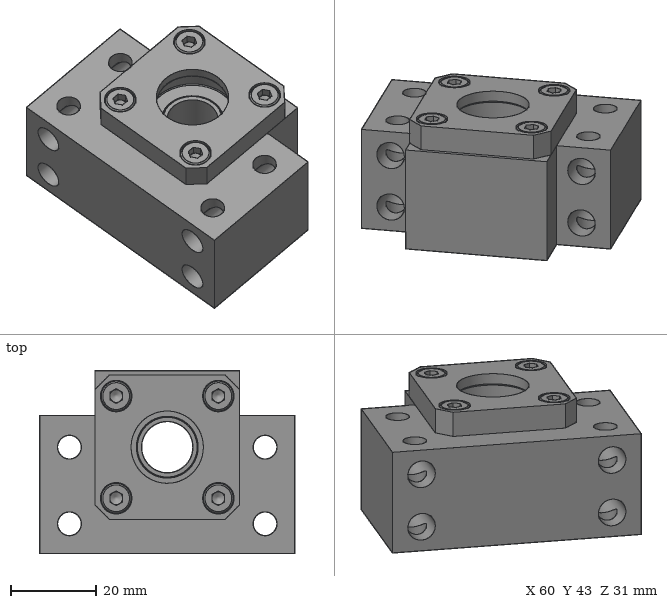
import cadquery as cq
import math


WIDTH = 60.0
HOUSING_HEIGHT = 25.0
AXIS_TO_FRONT = 25.0
AXIS_TO_BACK = 18.0
AXIS_TO_WING = 7.5
CENTRE_WIDTH = 34.0

MOUNT_X = 23.0
VERTICAL_HOLE_D = 5.5
VERTICAL_HOLE_Y = (0.0, -18.0)
CROSS_HOLE_D = 6.6
CROSS_HOLE_Z = (6.0, 19.0)

CAP_THICKNESS = 6.0
CAP_CORNER = 3.5
CAP_BORE_D = 17.0
CAP_LIP = 3.0
CAP_LIP_CHAMFER = 0.5
SPIGOT_LENGTH = 2.0
SPIGOT_D = 28.0
SPIGOT_BORE_D = 21.35

BORE_D = 12.0
RECESS_DEPTH = 0.25
COLLAR_D = 14.05
COLLAR_GAP = 0.25
COLLAR_GAP_DEPTH = 0.6

SCREW_PITCH = 24.0
COUNTERBORE_D = 7.4
HEAD_D = 7.0
HEAD_HEIGHT = 4.0
HEAD_CHAMFER = 0.35
SHANK_D = 4.0
SHANK_LENGTH = 12.0
SOCKET_FLATS = 3.0
SOCKET_DEPTH = 2.0
SOCKET_CONE_DEPTH = 0.85

cap_top = HOUSING_HEIGHT + CAP_THICKNESS
spigot_floor = HOUSING_HEIGHT - SPIGOT_LENGTH
recess_floor = spigot_floor - RECESS_DEPTH
lip_bottom = cap_top - CAP_LIP
head_seat = cap_top - HEAD_HEIGHT
half_pitch = SCREW_PITCH / 2
screw_points = [(x, y) for x in (-half_pitch, half_pitch) for y in (-half_pitch, half_pitch)]


def cylinder(diameter, bottom, top, points=((0, 0),)):
    """Vertical cylinders between two heights, one at each point."""
    plane = cq.Workplane("XY").workplane(offset=bottom)
    return plane.pushPoints(points).circle(diameter / 2).extrude(top - bottom)


def cone(bottom_diameter, top_diameter, bottom, height):
    """Cone or cone frustum on the Z axis."""
    solid = cq.Solid.makeCone(bottom_diameter / 2, top_diameter / 2, height)
    return cq.Workplane(solid).translate((0, 0, bottom))


def block(width, front, back, bottom, top):
    """Box centred on X between the given Y and Z limits."""
    box = cq.Workplane("XY").box(width, back - front, top - bottom, centered=(True, False, False))
    return box.translate((0, front, bottom))


def make_housing():
    wings = block(WIDTH, -AXIS_TO_FRONT, AXIS_TO_WING, 0, HOUSING_HEIGHT)
    centre = block(CENTRE_WIDTH, -AXIS_TO_FRONT, AXIS_TO_BACK, 0, HOUSING_HEIGHT)
    body = wings.union(centre)

    vertical_points = [(x, y) for x in (-MOUNT_X, MOUNT_X) for y in VERTICAL_HOLE_Y]
    body = body.cut(cylinder(VERTICAL_HOLE_D, 0, HOUSING_HEIGHT, vertical_points))

    cross_points = [(x, z) for x in (-MOUNT_X, MOUNT_X) for z in CROSS_HOLE_Z]
    cross_plane = cq.Workplane("XZ", origin=(0, -AXIS_TO_FRONT, 0)).pushPoints(cross_points)
    body = body.cut(cross_plane.circle(CROSS_HOLE_D / 2).extrude(-(AXIS_TO_FRONT + AXIS_TO_WING)))

    body = body.cut(cylinder(SPIGOT_D, spigot_floor, HOUSING_HEIGHT))
    body = body.cut(cone(SPIGOT_BORE_D - 2 * RECESS_DEPTH, SPIGOT_BORE_D, recess_floor, RECESS_DEPTH))
    groove_bottom = recess_floor - COLLAR_GAP_DEPTH
    groove = cylinder(COLLAR_D + 2 * COLLAR_GAP, groove_bottom, recess_floor)
    groove = groove.cut(cylinder(COLLAR_D, groove_bottom, recess_floor))
    body = body.cut(groove).cut(cylinder(BORE_D, 0, recess_floor))

    return body.cut(cylinder(SHANK_D, head_seat - SHANK_LENGTH, HOUSING_HEIGHT, screw_points))


def make_cap():
    half_width = CENTRE_WIDTH / 2
    plate = block(CENTRE_WIDTH, -half_width, half_width, HOUSING_HEIGHT, cap_top)
    plate = plate.edges("|Z").chamfer(CAP_CORNER)
    body = plate.union(cylinder(SPIGOT_D, spigot_floor, HOUSING_HEIGHT))

    body = body.cut(cylinder(CAP_BORE_D, spigot_floor, cap_top))
    body = body.cut(cylinder(SPIGOT_BORE_D, spigot_floor, lip_bottom))
    lip_chamfer = cone(CAP_BORE_D + 2 * CAP_LIP_CHAMFER, CAP_BORE_D, lip_bottom, CAP_LIP_CHAMFER)
    body = body.cut(lip_chamfer)

    body = body.cut(cylinder(COUNTERBORE_D, head_seat, cap_top, screw_points))
    return body.cut(cylinder(SHANK_D, HOUSING_HEIGHT, head_seat, screw_points))


def make_screw():
    """Socket head screw on the Z axis, with its head flush with the cap face."""
    head = cylinder(HEAD_D, head_seat, cap_top).faces(">Z").edges().chamfer(HEAD_CHAMFER)
    body = head.union(cylinder(SHANK_D, head_seat - SHANK_LENGTH, head_seat))

    corner_d = SOCKET_FLATS / math.cos(math.pi / 6)
    socket_floor = cap_top - SOCKET_DEPTH
    hexagon = cq.Workplane("XY").workplane(offset=socket_floor).polygon(6, corner_d)
    socket = hexagon.extrude(SOCKET_DEPTH).rotate((0, 0, 0), (0, 0, 1), 30)
    tip = cone(0, SOCKET_FLATS, socket_floor - SOCKET_CONE_DEPTH, SOCKET_CONE_DEPTH)
    return body.cut(socket).cut(tip)


housing = make_housing()
cap = make_cap()
screws = [make_screw().translate((x, y, 0)) for x, y in screw_points]

result = cq.Compound.makeCompound([housing.val(), cap.val(), *[screw.val() for screw in screws]])